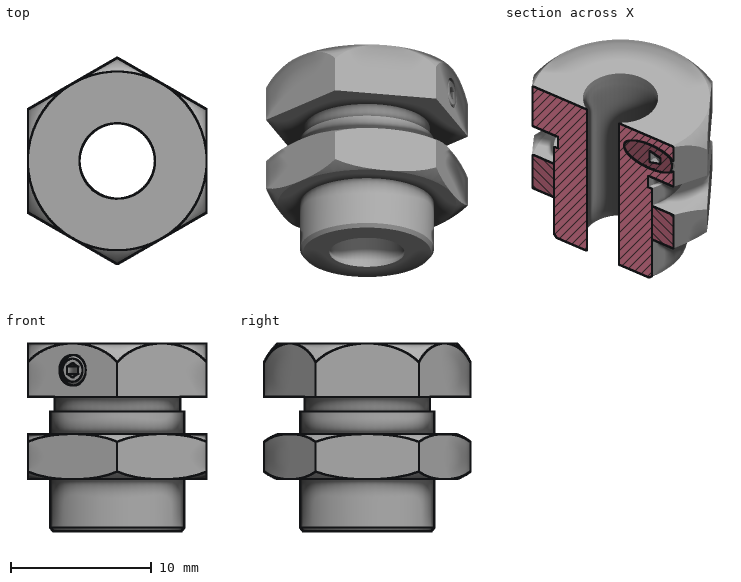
import cadquery as cq
import math

corner_diameter = 14.66
corner_radius = corner_diameter / 2
flat_distance = corner_radius * math.cos(math.radians(30))

total_height = 13.34
head_height = 3.8
head_bottom = total_height - head_height
head_bevel_drop = 1.33
head_bevel_bulge = 0.07
neck_height = 1.03
neck_bottom = head_bottom - neck_height
neck_radius = 4.47
shank_radius = 4.76
shank_chamfer_width = 0.22
shank_chamfer_height = 0.26
bore_radius = 2.67

nut_height = 3.2
nut_bottom = 3.71
nut_bevel_drop = 0.54
nut_bevel_bulge = 0.05

screw_direction = 240.0
screw_radius = 1.08
screw_length = flat_distance - bore_radius
screw_chamfer_width = 0.26
screw_chamfer_depth = 0.23
socket_across_flats = 0.88
socket_depth = 1.76


def make_hexagon(bottom, height):
    """Hexagonal prism with two corners on the Y axis."""
    return (
        cq.Workplane("XY", origin=(0, 0, bottom))
        .transformed(rotate=(0, 0, 90))
        .polygon(6, corner_diameter)
        .extrude(height)
    )


def make_bevel_envelope(bottom, height, top_drop, bulge, bottom_drop=0):
    """Turned shape that rounds the corners of a hexagon down to the circle inside its flats."""
    top = bottom + height
    profile = cq.Workplane("XZ").moveTo(0, bottom)
    if bottom_drop > 0:
        profile = profile.lineTo(flat_distance, bottom)
        profile = profile.sagittaArc((corner_radius, bottom + bottom_drop), -bulge)
    else:
        profile = profile.lineTo(corner_radius, bottom)
    return (
        profile.lineTo(corner_radius, top - top_drop)
        .sagittaArc((flat_distance, top), -bulge)
        .lineTo(0, top)
        .close()
        .revolve(360, (0, 0, 0), (0, 1, 0))
    )


def make_screw_plane():
    """Plane on the head flat, with its normal pointing outward along the screw axis."""
    angle = math.radians(screw_direction)
    outward = cq.Vector(math.cos(angle), math.sin(angle), 0)
    center = outward * flat_distance + cq.Vector(0, 0, head_bottom + head_height / 2)
    along_flat = (-math.sin(angle), math.cos(angle), 0)
    return cq.Plane(origin=center, xDir=along_flat, normal=outward)


def make_bushing():
    head = make_hexagon(head_bottom, head_height).intersect(
        make_bevel_envelope(head_bottom, head_height, head_bevel_drop, head_bevel_bulge)
    )
    shank = (
        cq.Workplane("XZ")
        .lineTo(shank_radius - shank_chamfer_width, 0)
        .lineTo(shank_radius, shank_chamfer_height)
        .lineTo(shank_radius, neck_bottom)
        .lineTo(neck_radius, neck_bottom)
        .lineTo(neck_radius, head_bottom)
        .lineTo(0, head_bottom)
        .close()
        .revolve(360, (0, 0, 0), (0, 1, 0))
    )
    bore = cq.Workplane("XY").circle(bore_radius).extrude(total_height)
    screw_hole = cq.Workplane(make_screw_plane()).circle(screw_radius).extrude(-flat_distance)
    return head.union(shank).cut(bore).cut(screw_hole)


def make_nut():
    blank = make_hexagon(nut_bottom, nut_height)
    envelope = make_bevel_envelope(
        nut_bottom, nut_height, nut_bevel_drop, nut_bevel_bulge, bottom_drop=nut_bevel_drop
    )
    shank_hole = cq.Workplane("XY").circle(shank_radius).extrude(total_height)
    return blank.intersect(envelope).cut(shank_hole)


def make_set_screw():
    body = (
        cq.Workplane("XZ")
        .lineTo(screw_radius - screw_chamfer_width, 0)
        .lineTo(screw_radius, -screw_chamfer_depth)
        .lineTo(screw_radius, -screw_length)
        .lineTo(0, -screw_length)
        .close()
        .revolve(360, (0, 0, 0), (0, 1, 0))
    )
    socket_across_corners = socket_across_flats / math.cos(math.radians(30))
    socket = (
        cq.Workplane("XY")
        .transformed(rotate=(0, 0, 90))
        .polygon(6, socket_across_corners)
        .extrude(-socket_depth)
    )
    screw = body.cut(socket).val()
    return cq.Workplane(screw.moved(cq.Location(make_screw_plane())))


bushing = make_bushing()
nut = make_nut()
set_screw = make_set_screw()

result = cq.Compound.makeCompound([bushing.val(), nut.val(), set_screw.val()])